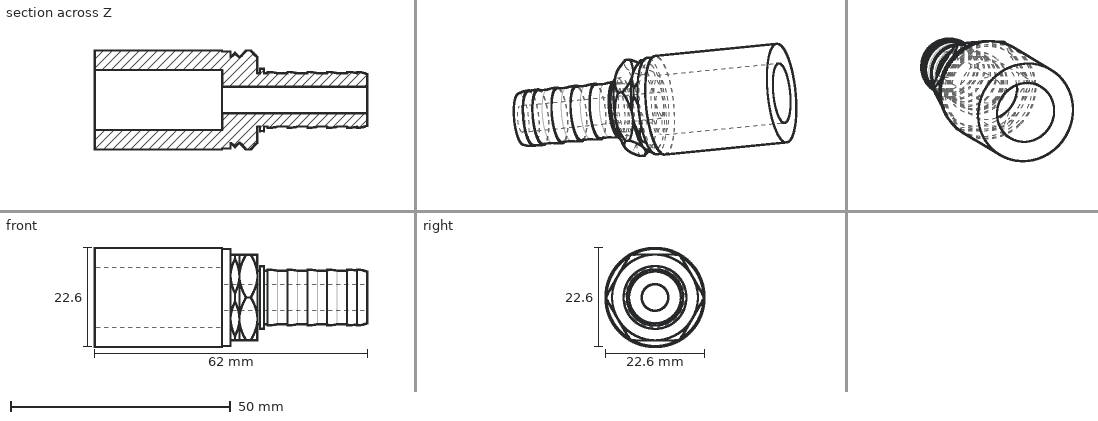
import cadquery as cq
import math

overall_length = 62.0
sleeve_end = 29.0
shoulder_end = 30.9
thin_hex_end = 32.9
thick_hex_end = 37.0
flange_start = 37.55
flange_end = 38.5

sleeve_diameter = 22.6
shoulder_diameter = 22.1
flange_diameter = 14.3
stem_diameter = 12.25
barb_crest_diameter = 12.8
tip_diameter = 11.75

hex_across_flats = 19.5
hex_across_corners = hex_across_flats / math.cos(math.pi / 6)

barb_count = 5
first_crest = 39.25
barb_pitch = 4.54
barb_length = barb_pitch / 2
last_crest = first_crest + (barb_count - 1) * barb_pitch
tip_start = last_crest + barb_length

socket_diameter = 13.6
socket_depth = sleeve_end
through_diameter = 6.0


def cylinder(start, end, diameter):
    return cq.Workplane("YZ").workplane(offset=start).circle(diameter / 2).extrude(end - start)


def revolve_about_x(outline):
    return outline.revolve(360, (0, 0, 0), (1, 0, 0))


def chamfered_hex(start, end):
    """Hexagon with flats facing +Z and -Z, its corners cut by a 45 degree cone at each end."""
    length = end - start
    prism = cq.Workplane("YZ").workplane(offset=start).polygon(6, hex_across_corners).extrude(length)
    corner_height = (hex_across_corners - hex_across_flats) / 2
    bevel = min(corner_height, length / 2)
    face_radius = hex_across_flats / 2
    crest_radius = face_radius + bevel
    outline = cq.Workplane("XY").moveTo(start, 0).lineTo(start, face_radius)
    outline = outline.lineTo(start + bevel, crest_radius)
    if length > 2 * bevel:
        outline = outline.lineTo(end - bevel, crest_radius)
    outline = outline.lineTo(end, face_radius).lineTo(end, 0).close()
    envelope = revolve_about_x(outline)
    return prism.intersect(envelope)


def barb(start, end, end_diameter):
    """Ring with a sharp crest at its start and a convex arc falling to its end diameter."""
    crest_radius = barb_crest_diameter / 2
    end_radius = end_diameter / 2
    length = end - start
    drop = crest_radius - end_radius
    middle = (start + length / 2, crest_radius - drop / 4)
    outline = (
        cq.Workplane("XY")
        .moveTo(start, 0)
        .lineTo(start, crest_radius)
        .threePointArc(middle, (end, end_radius))
        .lineTo(end, 0)
        .close()
    )
    return revolve_about_x(outline)


body = cylinder(0, sleeve_end, sleeve_diameter)
body = body.union(cylinder(sleeve_end, shoulder_end, shoulder_diameter))
body = body.union(chamfered_hex(shoulder_end, thin_hex_end))
body = body.union(chamfered_hex(thin_hex_end, thick_hex_end))

body = body.union(cylinder(thick_hex_end, tip_start, stem_diameter))
body = body.union(cylinder(flange_start, flange_end, flange_diameter))
for index in range(barb_count):
    crest = first_crest + index * barb_pitch
    body = body.union(barb(crest, crest + barb_length, stem_diameter))
body = body.union(barb(tip_start, overall_length, tip_diameter))

body = body.cut(cylinder(0, socket_depth, socket_diameter))
result = body.cut(cylinder(0, overall_length, through_diameter))